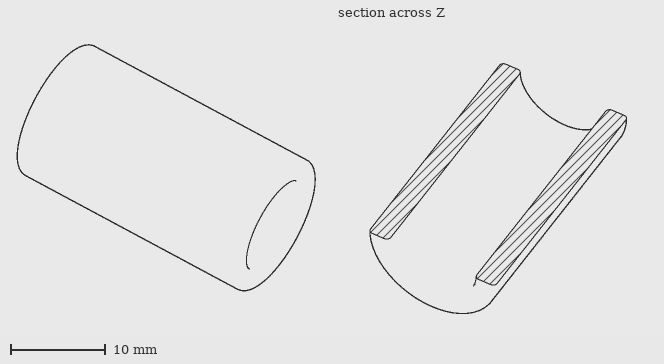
import cadquery as cq

length = 28.0
outer_diameter = 15.5
bore_diameter = 10.5
rim_radius = 0.5

sleeve = (
    cq.Workplane("YZ", origin=(-length / 2, 0, 0))
    .circle(outer_diameter / 2)
    .circle(bore_diameter / 2)
    .extrude(length)
)

result = sleeve.faces("<X or >X").edges().fillet(rim_radius)